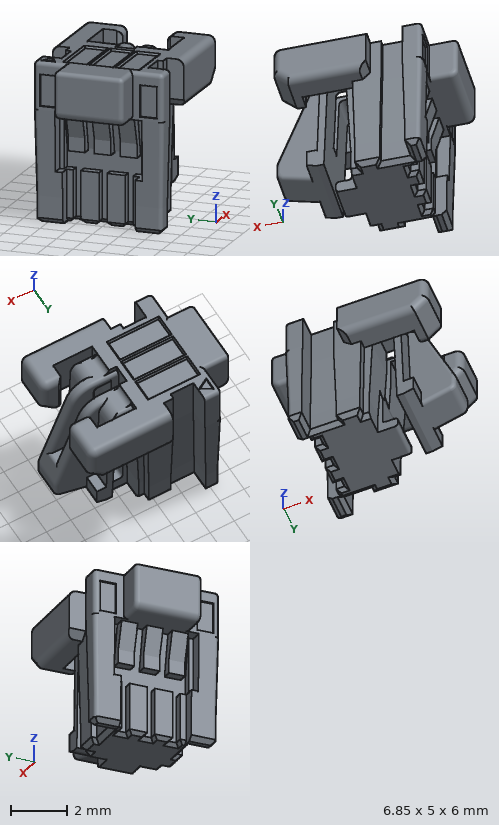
import cadquery as cq
import math

length = 6.85
height = 6.0
head_bottom = 4.21
straight_top = 1.0
edge_round = 0.165
bottom_chamfer = 0.18

nose_half_width = 1.31
nose_chin_round = 0.295
post_front = 1.03
post_rear = 1.72
post_half_width = 2.465
post_round = 0.145
notch_rear = 2.665
notch_half_width = 1.65
flank_half_width = 1.855
flank_rear = 3.72
body_rear = 4.03
body_rear_low = 3.88
draft_inset = 0.07

arm_front = 3.06
arm_rear = 6.5
arm_half_width = 2.5
arm_round = 0.29
arm_rear_chamfer = 0.52
bay_rear = 5.645
bay_half_width = 1.54
tip_half_gap = 0.855
tip_chamfer = 0.165

rows = 3
pitch = 0.99
window_bottom = 1.95
window_half_width = 1.65
window_back_half_width = 1.485
comb_half_width = 1.385
comb_front = 1.52
comb_gap = 0.3
comb_chamfer = 0.145
wall_x = 1.84
wall_bend = 2.71
wall_lean = 10.5
block_front = 1.48
block_width = 0.63
block_bottom = 2.66
block_bend = 3.185
block_lean = 16.0

mark_depth = 0.08
label_start = 1.315
label_end = 3.48
label_width = 0.905
label_inset = 0.055
front_mark_inner = 1.59
front_mark_outer = 2.225
front_mark_bottom = 4.35
front_mark_top = 5.535
arrow_base = 1.22
arrow_tip = 1.68
arrow_y = 1.97
arrow_half_width = 0.26

latch_top = 5.795
latch_thickness = 0.29
leaf_half_width = 1.355
leaf_side_round = 0.145
leaf_bend_x = 4.56
leaf_bend_radius = 0.48
leaf_foot_x = 4.905
leaf_bottom = 0.79
foot_rear = 5.54
foot_top = 1.58
foot_front = 5.15
root_round = height - latch_top
lever_half_width = 0.65
lever_bend_x = 4.775
lever_bend_radius = 0.985
lever_lean = 20.1
lever_base_start = 5.165
lever_base_slope = 17.4
lever_upper_round = 0.55
lever_lower_round = 0.29
lever_edge_round = 0.15
slot_half_width = 0.205
slot_floor = 2.74

catch_top = 3.81
catch_x = 4.06
catch_bend = 2.0
catch_rear = 4.645
catch_height = 0.5
catch_round = 0.13


def block(x0, x1, y0, y1, z0, z1):
    """Axis-aligned box between the given limits."""
    return cq.Workplane("XY").box(x1 - x0, y1 - y0, z1 - z0, centered=False).translate((x0, y0, z0))


def both_sides(shape):
    """The shape together with its mirror image across Y = 0."""
    return shape.union(shape.mirror("XZ"))


def across(points, half_width):
    """Polygon in X and Z, extruded symmetrically across Y."""
    return cq.Workplane("XZ").polyline(points).close().extrude(half_width, both=True)


def row_centres():
    """Y of each contact row."""
    return [(i - (rows - 1) / 2) * pitch for i in range(rows)]


def body_plan(inset):
    """Corners of the body outline, moved inwards by the inset."""
    half = [
        (post_front + inset, post_half_width - inset),
        (post_rear - inset, post_half_width - inset),
        (post_rear - inset, notch_half_width - inset),
        (notch_rear + inset, notch_half_width - inset),
        (notch_rear + inset, flank_half_width - inset),
        (flank_rear - inset, flank_half_width - inset),
    ]
    return half + [(x, -y) for x, y in reversed(half)]


def body_section(z, inset):
    """Closed outline of the body at one level."""
    points = [cq.Vector(x, y, z) for x, y in body_plan(inset)]
    return cq.Wire.makePolygon(points, close=True)


def rear_section(z, rear_x, inset):
    """Closed outline of the narrower rear wall at one level."""
    half_width = bay_half_width - inset
    corners = [(arm_front, half_width), (rear_x, half_width), (rear_x, -half_width), (arm_front, -half_width)]
    return cq.Wire.makePolygon([cq.Vector(x, y, z) for x, y in corners], close=True)


def body_head():
    """Straight upper part of the body with rounded front posts."""
    head = cq.Workplane("XY", origin=(0, 0, head_bottom)).polyline(body_plan(0)).close()
    head = head.extrude(height - head_bottom)
    front = head.edges("<X and (|Z or >Z)")
    sides = head.edges(">Z and (>Y or <Y)")
    head = head.newObject(front.vals() + sides.vals()).fillet(edge_round)
    return head.union(block(arm_front, body_rear, -flank_half_width, flank_half_width, head_bottom, height))


def nose():
    """Rounded block standing out of the front of the head."""
    shape = block(0, post_front + edge_round, -nose_half_width, nose_half_width, head_bottom, height)
    shape = shape.edges("<X and <Z").fillet(nose_chin_round)
    return shape.faces("<Y or >Y or >Z").edges("not >X").fillet(edge_round)


def body_lower():
    """Drafted lower part of the body, chamfered round the bottom."""
    sections = [
        body_section(head_bottom, 0),
        body_section(straight_top, draft_inset),
        body_section(bottom_chamfer, draft_inset),
        body_section(0, draft_inset + bottom_chamfer),
    ]
    lower = cq.Workplane(cq.Solid.makeLoft(sections, True))
    front_x = post_front + draft_inset
    corners = cq.selectors.BoxSelector(
        (post_front, -post_half_width, bottom_chamfer), (front_x, post_half_width, head_bottom - 0.07)
    )
    lower = lower.edges(corners).edges("not |Y").fillet(post_round)
    rear_sections = [
        rear_section(head_bottom, body_rear, 0),
        rear_section(straight_top, body_rear_low, draft_inset),
        rear_section(bottom_chamfer, body_rear_low, draft_inset),
        rear_section(0, body_rear_low, draft_inset + bottom_chamfer),
    ]
    rear = cq.Workplane(cq.Solid.makeLoft(rear_sections, True))
    return lower.union(rear)


def guard_arm():
    """Hooked arm on the +Y side that guards the latch."""
    beam = block(arm_front, arm_rear, bay_half_width, arm_half_width, head_bottom, height)
    tip = block(bay_rear, arm_rear, tip_half_gap, arm_half_width, head_bottom, height)
    arm = beam.union(tip).clean()
    arm = arm.edges("<Z and >X").chamfer(arm_rear_chamfer)
    outer = arm.faces(">Y").edges("not <X").vals()
    inner = arm.faces("<Y").edges("not <X").vals()
    rear = arm.edges(">X and >Z").vals()
    arm = arm.newObject(outer + inner + rear).fillet(arm_round)
    tip_corner = (
        cq.Workplane("XY", origin=(bay_rear, tip_half_gap, head_bottom))
        .polyline([(0, 0), (tip_chamfer, 0), (0, tip_chamfer)])
        .close()
        .extrude(height - head_bottom)
    )
    run_out_points = [
        (arm_front, head_bottom),
        (arm_front + arm_round, head_bottom),
        (arm_front, head_bottom + arm_round),
    ]
    run_out = across(run_out_points, arm_half_width)
    return arm.cut(tip_corner).cut(run_out)


def front_window():
    """Opening below the nose and the pocket under it that holds the comb and its backing wall."""
    mouth = block(0, comb_front, -window_half_width, window_half_width, window_bottom, head_bottom)
    lean_x = wall_x - (head_bottom - wall_bend) * math.tan(math.radians(wall_lean))
    back_points = [
        (0, window_bottom),
        (wall_x, window_bottom),
        (wall_x, wall_bend),
        (lean_x, head_bottom),
        (0, head_bottom),
    ]
    back = across(back_points, window_back_half_width)
    pocket = block(0, wall_x + comb_chamfer, -comb_half_width, comb_half_width, 0, window_bottom)
    return mouth.union(back).union(pocket)


def comb_bars():
    """Bars between the comb gaps, chamfered round each gap and along the front at the bottom."""
    back = wall_x + comb_chamfer
    comb = block(comb_front, back, -comb_half_width, comb_half_width, 0, window_bottom)
    comb = comb.edges("<Z and <X").chamfer(comb_chamfer)
    start = comb_front - 2 * comb_chamfer
    for y in row_centres():
        gap = block(start, wall_x, y - comb_gap / 2, y + comb_gap / 2, 0, window_bottom)
        flare = (
            cq.Workplane("XY", origin=((start + back) / 2, y, 0))
            .rect(back - start, comb_gap + 2 * comb_chamfer)
            .extrude(comb_chamfer, taper=45)
        )
        comb = comb.cut(gap).cut(flare)
    return comb


def contact_blocks():
    """One block per row on the back wall of the window, leaning forward towards the head."""
    lean_x = block_front - (head_bottom - block_bend) * math.tan(math.radians(block_lean))
    points = [
        (wall_x, block_bottom),
        (block_front, block_bottom),
        (block_front, block_bend),
        (lean_x, head_bottom),
        (wall_x, head_bottom),
    ]
    profile = across(points, block_width / 2)
    blocks = cq.Workplane()
    for y in row_centres():
        blocks = blocks.add(profile.translate((0, y, 0)))
    return blocks.combine()


def shallow_marks():
    """Label recesses and arrow on top, and a rectangle on the front of each post."""
    floor = height - mark_depth
    arrow = [
        (arrow_base, arrow_y - arrow_half_width),
        (arrow_tip, arrow_y),
        (arrow_base, arrow_y + arrow_half_width),
    ]
    marks = cq.Workplane("XY", origin=(0, 0, height)).polyline(arrow).close().extrude(-mark_depth)
    for y in row_centres():
        label = block(label_start, label_end, y - label_width / 2, y + label_width / 2, floor, height)
        marks = marks.union(label.edges("<Z").chamfer(mark_depth * 0.999, label_inset))
    panel_rear = post_front + mark_depth
    panel = block(post_front, panel_rear, front_mark_inner, front_mark_outer, front_mark_bottom, front_mark_top)
    return marks.union(both_sides(panel))


def lever_base(x):
    """Height of the sloping underside of the lever."""
    return leaf_bottom + (x - lever_base_start) * math.tan(math.radians(lever_base_slope))


def latch_gap():
    """Space between the body and the latch, rounded under the bend of the leaf."""
    ceiling = latch_top - latch_thickness
    radius = leaf_bend_radius - latch_thickness
    return (
        cq.Workplane("XZ")
        .moveTo(flank_rear, ceiling)
        .lineTo(leaf_bend_x, ceiling)
        .radiusArc((leaf_bend_x + radius, ceiling - radius), radius)
        .lineTo(leaf_foot_x, leaf_bottom)
        .lineTo(flank_rear, leaf_bottom)
        .close()
        .extrude(leaf_half_width, both=True)
    )


def latch_leaf():
    """Wide strip that leaves the body, bends down and ends in a foot."""
    bend_z = latch_top - leaf_bend_radius
    strip = (
        cq.Workplane("XZ")
        .moveTo(body_rear, latch_top)
        .lineTo(leaf_bend_x, latch_top)
        .radiusArc((leaf_bend_x + leaf_bend_radius, bend_z), leaf_bend_radius)
        .lineTo(foot_front, foot_top)
        .lineTo(foot_rear, foot_top)
        .lineTo(foot_rear, lever_base(foot_rear))
        .lineTo(lever_base_start, leaf_bottom)
        .lineTo(body_rear, leaf_bottom)
        .close()
        .extrude(leaf_half_width, both=True)
    )
    envelope = block(body_rear, foot_rear, -leaf_half_width, leaf_half_width, 0, latch_top)
    strip = strip.intersect(envelope.edges(">Z and |X").fillet(leaf_side_round))
    lever_core = lever_half_width - lever_edge_round
    return strip.cut(block(body_rear, foot_rear, -lever_core, lever_core, 0, latch_top))


def latch_root():
    """Concave round between the leaf and the top of the body."""
    return (
        cq.Workplane("XZ")
        .moveTo(flank_rear, height)
        .lineTo(body_rear, height)
        .radiusArc((body_rear + root_round, latch_top), -root_round)
        .lineTo(flank_rear, latch_top)
        .close()
        .extrude(leaf_half_width - leaf_side_round, both=True)
    )


def lever_slot():
    """Slot along the middle of the lever, open at its sloping back."""
    return block(flank_rear, length, -slot_half_width, slot_half_width, slot_floor, height)


def latch_lever():
    """Narrow finger lever arched over the leaf, with rounded outer edges and a rounded slot."""
    lean = math.radians(lever_lean)
    bend_z = latch_top - lever_bend_radius
    slope_x = lever_bend_x + lever_bend_radius * math.cos(lean)
    slope_z = bend_z + lever_bend_radius * math.sin(lean)
    lever = (
        cq.Workplane("XZ")
        .moveTo(flank_rear, latch_top)
        .lineTo(lever_bend_x, latch_top)
        .radiusArc((slope_x, slope_z), lever_bend_radius)
        .lineTo(length, slope_z - (length - slope_x) / math.tan(lean))
        .lineTo(length, lever_base(length))
        .lineTo(lever_base_start, leaf_bottom)
        .lineTo(flank_rear, leaf_bottom)
        .close()
        .extrude(lever_half_width, both=True)
    )
    lever = lever.edges("|Y and >X").edges(">Z").fillet(lever_upper_round)
    lever = lever.edges("|Y").edges(">X").edges("<Z").fillet(lever_lower_round)
    lever = lever.faces("<Y or >Y").edges("not (<X or <Z)").fillet(lever_edge_round)
    lever = lever.cut(lever_slot())
    mouth = cq.selectors.BoxSelector(
        (flank_rear + 0.07, -slot_half_width - 0.07, slot_floor - 0.07),
        (length, slot_half_width + 0.07, height),
    )
    floor_sides = cq.selectors.BoxSelector(
        (flank_rear, -slot_half_width - 0.07, slot_floor - 0.07),
        (lever_bend_x + lever_bend_radius, slot_half_width + 0.07, slot_floor + 0.07),
    )
    return lever.edges(mouth - floor_sides).fillet(lever_edge_round)


def catch():
    """Ramp and lip standing out of the lower rear wall."""
    points = [
        (arm_front, catch_top),
        (flank_rear, catch_top),
        (catch_x, catch_bend),
        (catch_x, catch_height),
        (catch_rear, catch_height),
        (catch_rear, 0),
        (arm_front, 0),
    ]
    lip = across(points, lever_half_width)
    root = cq.selectors.BoxSelector(
        (catch_x - 0.07, -lever_half_width, catch_height - 0.07), (catch_x + 0.07, lever_half_width, catch_height + 0.07)
    )
    rounded = lip.edges("|Y and >X").vals() + lip.edges(root).vals()
    return lip.newObject(rounded).fillet(catch_round)


mouth_half_width = slot_half_width + lever_edge_round
seat_floor = latch_top - latch_thickness
latch_seat = block(flank_rear, body_rear, -mouth_half_width, mouth_half_width, seat_floor, height)
rear_slot = block(flank_rear, body_rear, -slot_half_width, slot_half_width, 0, height)
slot_mouth = block(flank_rear, leaf_bend_x, -mouth_half_width, mouth_half_width, latch_top, height)

body = body_head().union(nose()).union(body_lower()).union(both_sides(guard_arm()))
body = body.cut(front_window()).union(comb_bars()).union(contact_blocks()).cut(shallow_marks())
body = body.cut(latch_seat).cut(rear_slot).union(catch())

latch = latch_leaf().union(latch_lever()).cut(latch_gap())
result = body.union(latch_root().cut(slot_mouth)).union(latch)